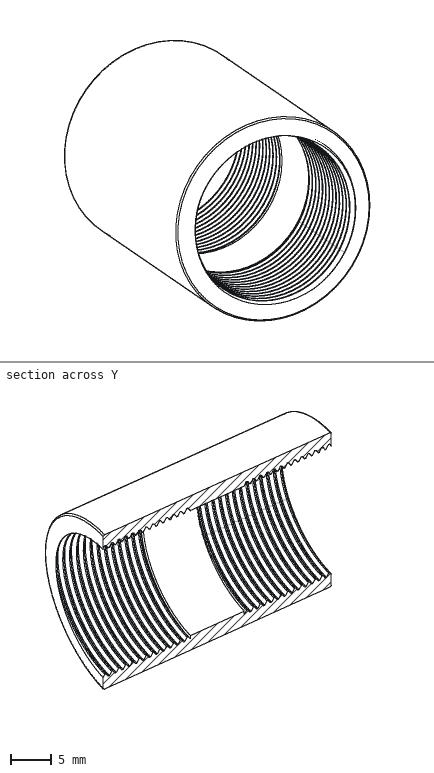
import cadquery as cq
import math

length = 34.0
outer_diameter = 26.5
bore_diameter = 21.32
edge_chamfer = 0.2

pitch = 1.02
thread_length = 13.0
thread_depth = 0.58
root_flat = 0.17
flank_half_angle = 30.0
start_angle = -60.0
overrun_turns = 2

bore_radius = bore_diameter / 2
root_radius = bore_radius + thread_depth
root_half = root_flat / 2
mouth_half = root_half + thread_depth * math.tan(math.radians(flank_half_angle))
overrun = overrun_turns * pitch
turns = math.ceil(thread_length / pitch) + 2 * overrun_turns

thread_profile = [
    (bore_radius, -mouth_half),
    (root_radius, -root_half),
    (root_radius, root_half),
    (bore_radius, mouth_half),
    (bore_radius, pitch - mouth_half),
]


def make_rod():
    rod = cq.Workplane("YZ").circle(outer_diameter / 2).extrude(length)
    return rod.edges().chamfer(edge_chamfer).translate((-length / 2, 0, 0))


def helix_turn(radius, height):
    centre = cq.Vector(0, 0, height)
    return cq.Wire.makeHelix(pitch, pitch, radius, center=centre, lefthand=True).Edges()[0]


def make_turn_faces(base):
    """Helical faces of one thread turn, starting at the given height."""
    edges = [helix_turn(radius, base + height) for radius, height in thread_profile]
    return [cq.Face.makeRuledSurface(lower, upper) for lower, upper in zip(edges, edges[1:])]


def make_end_faces(base):
    """Close an end with a helical ramp from the axis to the crest and one radial step."""
    crest_height = base - mouth_half
    axis_start = cq.Vector(0, 0, crest_height)
    axis_end = cq.Vector(0, 0, crest_height + pitch)
    ramp = cq.Face.makeRuledSurface(
        cq.Edge.makeLine(axis_start, axis_end), helix_turn(bore_radius, crest_height))
    step_points = [cq.Vector(radius, 0, base + height) for radius, height in thread_profile]
    step_points = [axis_start] + step_points + [axis_end]
    step = cq.Face.makeFromWires(cq.Wire.makePolygon(step_points, close=True))
    return ramp, step


def make_tap():
    """Solid that fills the thread at the -X end, skinned along Z and then laid along X."""
    faces = []
    for turn in range(turns):
        faces += make_turn_faces(turn * pitch)
    faces += make_end_faces(0)
    faces += make_end_faces(turns * pitch)
    tap = cq.Solid.makeSolid(cq.Shell.makeShell(faces))
    tap = tap.rotate((0, 0, 0), (0, 0, 1), start_angle)
    tap = tap.rotate((0, 0, 0), (0, 1, 0), 90)
    tap = tap.translate(cq.Vector(-length / 2 - overrun, 0, 0))
    trim_block = cq.Workplane("XY").box(thread_length, outer_diameter, outer_diameter)
    return trim_block.translate((-length / 2 + thread_length / 2, 0, 0)).intersect(cq.Workplane(obj=tap))


def make_plain_bore():
    plain_length = length - 2 * thread_length
    return cq.Workplane("YZ").circle(bore_radius).extrude(plain_length / 2, both=True)


end_tap = make_tap()
opposite_tap = end_tap.rotate((0, 0, 0), (0, 0, 1), 180)
result = make_rod().cut(end_tap).cut(opposite_tap).cut(make_plain_bore())